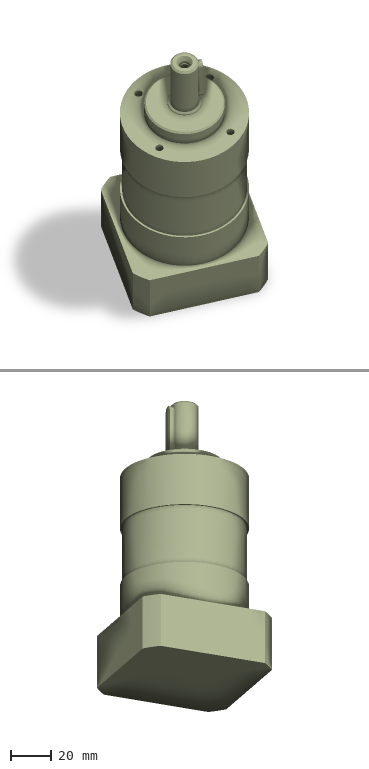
import cadquery as cq
import math

flange_width = 70.0
flange_corner_diameter = 90.0
flange_top = 27.8

housing_diameter = 64.2
ring_gear_diameter = 62.1
rear_housing_top = 49.7
ring_gear_top = 80.6
front_housing_top = 107.5

pilot_diameter = 40.0
pilot_top = 115.6
pilot_chamfer = 0.9
collar_diameter = 17.0
collar_height = 0.9
collar_chamfer = 0.5

shaft_diameter = 14.0
shaft_tip_diameter = 12.0
shaft_tip_length = 1.0
shaft_top = 146.5

key_width = 5.0
key_length = 24.9
key_end_gap = 1.9
key_outer_y = 9.1
key_height = 5.0

center_mouth_diameter = 8.0
center_bore_diameter = 5.3
center_bore_depth = 4.0
center_drill_diameter = 4.1
center_drill_depth = 12.5
center_cone_half_angle = 30.0

mount_hole_diameter = 4.1
mount_hole_depth = 10.0
mount_circle_diameter = 52.0
mount_hole_count = 4
drill_point_half_angle = 59.0


def cylinder(diameter, bottom, top):
    return cq.Workplane("XY").workplane(offset=bottom).circle(diameter / 2).extrude(top - bottom)


def cone_height(large_diameter, small_diameter, half_angle):
    return (large_diameter - small_diameter) / 2 / math.tan(math.radians(half_angle))


def drilled_hole(diameter, depth, top):
    """Blind hole from height top, ending in a conical drill point below the full-diameter depth."""
    point = cone_height(diameter, 0, drill_point_half_angle)
    profile = [(0, top), (diameter / 2, top), (diameter / 2, top - depth), (0, top - depth - point)]
    return cq.Workplane("XZ").polyline(profile).close().revolve(360, (0, 0), (0, 1))


def make_flange():
    square = cq.Workplane("XY").rect(flange_width, flange_width).extrude(flange_top)
    return square.intersect(cylinder(flange_corner_diameter, 0, flange_top))


def make_housing():
    rear = cylinder(housing_diameter, flange_top, rear_housing_top)
    ring_gear = cylinder(ring_gear_diameter, rear_housing_top, ring_gear_top)
    front = cylinder(housing_diameter, ring_gear_top, front_housing_top)
    pilot = cylinder(pilot_diameter, front_housing_top, pilot_top).faces(">Z").chamfer(pilot_chamfer)
    collar = cylinder(collar_diameter, pilot_top, pilot_top + collar_height)
    collar = collar.faces(">Z").chamfer(collar_chamfer)
    return rear.union(ring_gear).union(front).union(pilot).union(collar)


def make_shaft():
    radius = shaft_diameter / 2
    profile = [
        (0, pilot_top),
        (radius, pilot_top),
        (radius, shaft_top - shaft_tip_length),
        (shaft_tip_diameter / 2, shaft_top),
        (0, shaft_top),
    ]
    return cq.Workplane("XZ").polyline(profile).close().revolve(360, (0, 0), (0, 1))


def make_key():
    middle = shaft_top - key_end_gap - key_length / 2
    key = cq.Workplane("XZ", origin=(0, key_outer_y, middle)).slot2D(key_length, key_width, 90)
    return key.extrude(key_height)


def make_center_hole():
    mouth = center_mouth_diameter / 2
    bore = center_bore_diameter / 2
    cone_depth = cone_height(center_mouth_diameter, center_bore_diameter, center_cone_half_angle)
    profile = [
        (0, shaft_top),
        (mouth, shaft_top),
        (bore, shaft_top - cone_depth),
        (bore, shaft_top - center_bore_depth),
        (0, shaft_top - center_bore_depth),
    ]
    countersink = cq.Workplane("XZ").polyline(profile).close().revolve(360, (0, 0), (0, 1))
    return countersink.union(drilled_hole(center_drill_diameter, center_drill_depth, shaft_top))


result = make_flange().union(make_housing()).union(make_shaft()).union(make_key())
result = result.cut(make_center_hole())

for index in range(mount_hole_count):
    angle = (index + 0.5) * 360 / mount_hole_count
    hole = drilled_hole(mount_hole_diameter, mount_hole_depth, front_housing_top)
    hole = hole.translate((mount_circle_diameter / 2, 0, 0)).rotate((0, 0, 0), (0, 0, 1), angle)
    result = result.cut(hole)